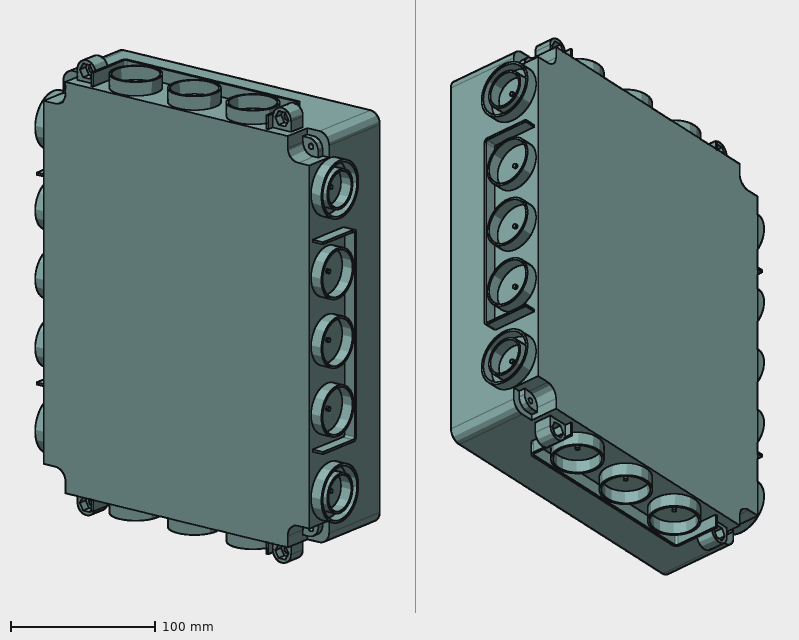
import cadquery as cq
body_width = 232.0
body_depth = 80.0
body_height = 300.0
corner_radius = 8.5
half_width = body_width / 2
half_height = body_height / 2

side_projection = 9.0
end_projection = 10.0
pin_height = 1.5
pin_diameter = 3.0

row_count = 3
entry_diameter = 37.0
entry_bore = 34.0
entry_y = 20.3
side_pitch = 50.0
end_pitch = 51.0
frame_half_length = 77.5
frame_front_y = 3.5
frame_back_y = 41.5
frame_wall = 1.5
frame_corner_radius = 3.3

large_collars = [(42.0, 39.0), (29.0, 26.0)]
large_y = 23.0
large_z = 111.0

notch_width = 19.0
notch_height = 17.5
notch_depth = 22.2
notch_radius = 9.0
pad_inset_x = 5.5
pad_inset_z = 4.5
pad_radius = 8.3
pad_thickness = 5.0
screw_hole_diameter = 4.0
screw_inset_x = 12.0
screw_inset_z = 10.5

lug_x = 85.3
lug_diameter = 16.0
lug_front_y = 8.5
lug_back_y = 22.2
lug_hole_diameter = 6.0
lug_root = 1.5
lug_socket_corners = 11.5
lug_socket_depth = 6.5
lug_reach = 166.0


def disc(diameter, height):
    return cq.Workplane("XY").circle(diameter / 2).extrude(height)


def collar(outer, inner, height):
    return cq.Workplane("XY").circle(outer / 2).circle(inner / 2).extrude(height)


def entry(height):
    """Thin collar with a centring pin at its middle."""
    return collar(entry_diameter, entry_bore, height).union(disc(pin_diameter, pin_height))


def large_entry(height):
    """Two concentric collars with a centring pin at their middle."""
    shape = disc(pin_diameter, pin_height)
    for outer, inner in large_collars:
        shape = shape.union(collar(outer, inner, height))
    return shape


def frame(height):
    """U-shaped wall around a row of entries, open at its low-Y end."""
    depth = frame_back_y - frame_front_y
    outside = (
        cq.Workplane("XY")
        .rect(2 * frame_half_length, depth)
        .extrude(height)
        .edges("|Z and >Y")
        .fillet(frame_corner_radius)
    )
    inside = (
        cq.Workplane("XY")
        .center(0, -frame_wall)
        .rect(2 * (frame_half_length - frame_wall), depth)
        .extrude(height)
        .edges("|Z and >Y")
        .fillet(frame_corner_radius - frame_wall)
    )
    return outside.cut(inside).translate((0, (frame_front_y + frame_back_y) / 2, 0))


def entry_row(pitch, height):
    """Framed row along X, standing on the XY plane; local Y is the part's Y."""
    row = frame(height)
    for index in range(row_count):
        x = (index - (row_count - 1) / 2) * pitch
        row = row.union(entry(height).translate((x, entry_y, 0)))
    return row


def lug():
    """Upright lug with a rounded tip, with a hexagonal socket open to the front and a through hole."""
    radius = lug_diameter / 2
    eye_z = lug_reach - radius
    base_z = half_height - lug_root
    shape = (
        cq.Workplane("XZ", origin=(0, lug_back_y, 0))
        .moveTo(-radius, base_z)
        .lineTo(-radius, eye_z)
        .threePointArc((0, lug_reach), (radius, eye_z))
        .lineTo(radius, base_z)
        .close()
        .extrude(lug_back_y - lug_front_y)
    )
    socket = (
        cq.Workplane("XZ", origin=(0, lug_front_y + lug_socket_depth, eye_z))
        .polygon(6, lug_socket_corners)
        .extrude(lug_socket_depth)
    )
    hole = (
        cq.Workplane("XZ", origin=(0, lug_back_y, eye_z))
        .circle(lug_hole_diameter / 2)
        .extrude(lug_back_y - lug_front_y)
    )
    return shape.cut(socket).cut(hole)


def front_block(x_min, x_max, z_min, z_max, y_min, y_max):
    return (
        cq.Workplane("XY")
        .box(x_max - x_min, y_max - y_min, z_max - z_min, centered=False)
        .translate((x_min, y_min, z_min))
    )


def corner_notch():
    """Space removed at the +X +Z front corner, around the pad and through the screw hole."""
    wall_x = half_width - notch_width
    wall_z = half_height - notch_height
    notch = front_block(wall_x, half_width, wall_z, half_height, 0, notch_depth)
    notch = notch.edges("|Y and <X and <Z").fillet(notch_radius)
    pad = front_block(
        wall_x,
        half_width - pad_inset_x,
        wall_z,
        half_height - pad_inset_z,
        notch_depth - pad_thickness,
        notch_depth,
    )
    pad = pad.edges("|Y and >X and >Z").fillet(pad_radius)
    hole = (
        cq.Workplane("XZ", origin=(half_width - screw_inset_x, 0, half_height - screw_inset_z))
        .circle(screw_hole_diameter / 2)
        .extrude(-body_depth)
    )
    return notch.cut(pad).union(hole)


result = (
    cq.Workplane("XY")
    .box(body_width, body_depth, body_height)
    .translate((0, body_depth / 2, 0))
    .edges("|Y")
    .fillet(corner_radius)
)

end_parts = entry_row(end_pitch, end_projection).translate((0, 0, half_height))
for x in (-lug_x, lug_x):
    end_parts = end_parts.union(lug().translate((x, 0, 0)))
result = result.union(end_parts).union(end_parts.mirror("XY"))

side_parts = entry_row(side_pitch, side_projection)
for x in (-large_z, large_z):
    side_parts = side_parts.union(large_entry(side_projection).translate((x, large_y, 0)))
side_parts = side_parts.rotate((0, 0, 0), (0, 1, 0), 90).translate((half_width, 0, 0))
result = result.union(side_parts).union(side_parts.mirror("YZ"))

notch = corner_notch()
notch_pair = notch.union(notch.mirror("YZ"))
result = result.cut(notch_pair).cut(notch_pair.mirror("XY"))